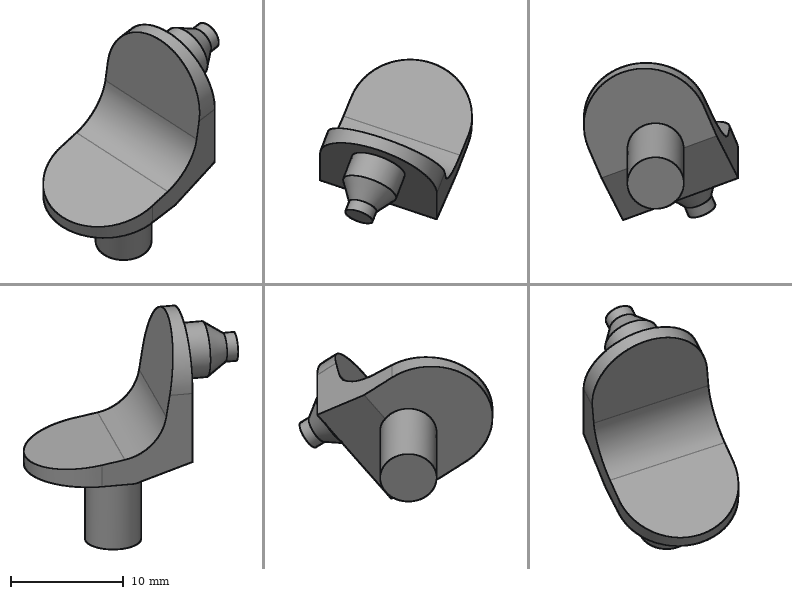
import cadquery as cq
import math

width = 11.0
leaf_length = 14.0
tip_thickness = 1.2
leaf_taper_angle = 8.7
inner_radius = 4.51
round_length = 5.74
heel_depth = 5.2
heel_height = 1.61

peg_diameter = 5.0
total_height = 21.5
peg_length = total_height - leaf_length
peg_setback = 6.0

pin_height = 10.0
pin_tip_diameter = 2.6
pin_body_length = 2.3
pin_taper_length = 1.78
pin_tip_length = 1.0

slope = math.tan(math.radians(leaf_taper_angle))
corner = (tip_thickness + leaf_length * slope) / (1 + slope)


def make_bracket():
    """L profile extruded across the width, with a rounded inner corner."""
    profile = [
        (-heel_depth, 0),
        (-leaf_length, 0),
        (-leaf_length, tip_thickness),
        (-corner, corner),
        (-tip_thickness, leaf_length),
        (0, leaf_length),
        (0, heel_height),
    ]
    body = cq.Workplane("YZ").polyline(profile).close().extrude(width / 2, both=True)
    inner_edge = cq.selectors.NearestToPointSelector((0, -corner, corner))
    return body.edges("|X").edges(inner_edge).fillet(inner_radius)


def make_peg():
    """Cylinder below the shelf leaf, carried up into it to close the gap under the sloped heel."""
    return (
        cq.Workplane("XY", origin=(0, -peg_setback, -peg_length))
        .circle(peg_diameter / 2)
        .extrude(peg_length + heel_height)
    )


def make_pin():
    """Cylinder, cone and small tip revolved about an axis along Y."""
    taper_end = pin_body_length + pin_taper_length
    pin_end = taper_end + pin_tip_length
    return (
        cq.Workplane("XY", origin=(0, 0, pin_height))
        .polyline([
            (0, 0),
            (peg_diameter / 2, 0),
            (peg_diameter / 2, pin_body_length),
            (pin_tip_diameter / 2, taper_end),
            (pin_tip_diameter / 2, pin_end),
            (0, pin_end),
        ])
        .close()
        .revolve(360, (0, 0, 0), (0, 1, 0))
    )


def make_tongue(plane, direction):
    """Prism outlining a leaf: straight sides and an elliptical end on local +Y or -Y."""
    shoulder = direction * (leaf_length - round_length)
    straight = (
        cq.Workplane(plane)
        .center(0, shoulder / 2)
        .rect(width, abs(shoulder))
        .extrude(leaf_length, both=True)
    )
    oval = (
        cq.Workplane(plane)
        .center(0, shoulder)
        .ellipse(width / 2, round_length)
        .extrude(leaf_length, both=True)
    )
    return straight.union(oval)


upright_outline = make_tongue("XZ", 1)
shelf_outline = make_tongue("XY", -1)
bracket = make_bracket().intersect(upright_outline).intersect(shelf_outline)
result = bracket.union(make_peg()).union(make_pin())